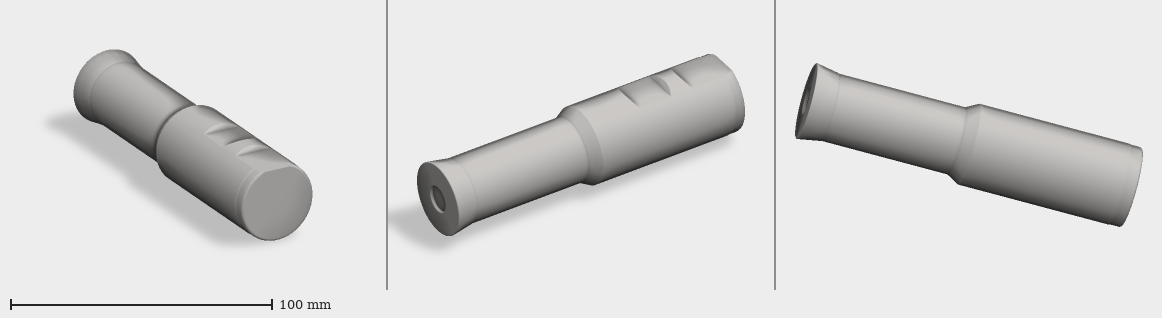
import cadquery as cq
import math


cutting_radius = 15.0
edge_length = 9.67
corner_angle = math.radians(80)
corner_radius = 0.4

overall_length = 130.0
face_recess_depth = 1.2
neck_radius = 13.3
neck_end = 60.0
shoulder_end = 65.0
shank_radius = 16.0

tail_radius = 15.8
tail_taper_start = 124.7
tail_taper_end = 125.7
tail_edge_radius = 1.0

flat_height = 14.0
flat_depth = shank_radius - flat_height
middle_flat_length = 14.0
middle_flat_center_from_rear = 36.0
rear_flat_length = 19.0
middle_flat_start = overall_length - middle_flat_center_from_rear - middle_flat_length / 2
rear_flat_start = overall_length - rear_flat_length


def revolve_about_x(profile):
    return profile.revolve(360, (0, 0, 0), (1, 0, 0))


def make_cutting_ring():
    rounding_loss = corner_radius / math.tan(corner_angle / 2) - corner_radius
    outer_corner = cutting_radius + rounding_loss
    inner_corner = outer_corner - edge_length
    depth = edge_length * math.sin(corner_angle)
    inward_lean = edge_length * math.cos(corner_angle)
    profile = cq.Workplane("XY").polyline([
        (0, inner_corner),
        (0, outer_corner),
        (depth, outer_corner - inward_lean),
        (depth, inner_corner - inward_lean),
    ]).close()
    return revolve_about_x(profile).edges().fillet(corner_radius)


def make_turned_blank():
    profile = (
        cq.Workplane("XY")
        .moveTo(face_recess_depth, 0)
        .lineTo(face_recess_depth, neck_radius)
        .lineTo(neck_end, neck_radius)
        .lineTo(shoulder_end, shank_radius)
        .lineTo(tail_taper_start, shank_radius)
        .lineTo(tail_taper_end, tail_radius)
        .lineTo(overall_length, tail_radius)
        .lineTo(overall_length, 0)
        .close()
    )
    return revolve_about_x(profile).faces(">X").edges().fillet(tail_edge_radius)


def make_flat_cutter(start, end):
    return (
        cq.Workplane("XZ")
        .polyline([
            (start, flat_height),
            (end, flat_height),
            (end + flat_depth, shank_radius),
            (start - flat_depth, shank_radius),
        ])
        .close()
        .extrude(shank_radius, both=True)
    )


def make_holder(ring):
    middle_flat = make_flat_cutter(middle_flat_start, middle_flat_start + middle_flat_length)
    rear_flat = make_flat_cutter(rear_flat_start, overall_length)
    return make_turned_blank().cut(middle_flat).cut(rear_flat).cut(ring)


cutting_ring = make_cutting_ring()
holder = make_holder(cutting_ring)

result = cq.Compound.makeCompound([cutting_ring.val(), holder.val()])